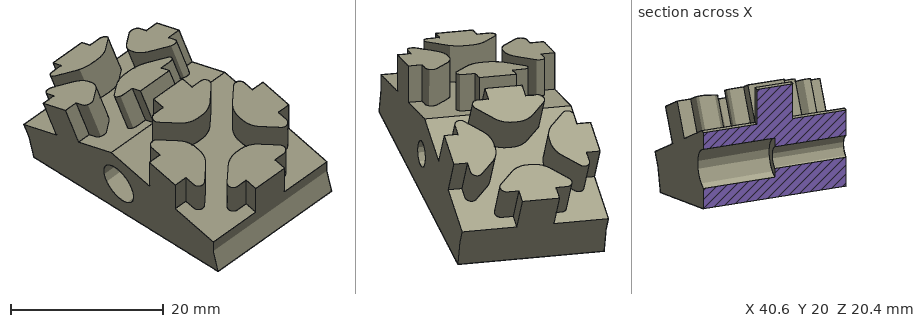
import cadquery as cq
import math

SEAT = 20.0
BEND = 31.0
BASE_LENGTH = 37.45
BASE_DEPTH = 10.75

KEY_HEIGHT = 5.0
KEY_LENGTH = 6.2
STEM_WIDTH = 5.08
STEM_LENGTH = 1.85
HEAD_WIDTH = 9.8
HEAD_RADIUS = 0.8
TIP_RADIUS = 3.3
KEYS_PER_SEAT = 4

HOLE_DROP = 5.45
HOLE_DIAMETER = 3.5
COUNTERBORE_DIAMETER = 5.8
COUNTERBORE_DEPTH = SEAT / 2

HALF_BEND = BEND / 2


def make_body():
    """Bent block, symmetric about a vertical bisector, with both seats sloping down from the ridge."""
    slope = math.radians(HALF_BEND)
    half_base = BASE_LENGTH / 2
    seat_end_x = SEAT * math.cos(slope)
    seat_end_z = -SEAT * math.sin(slope)
    wall_end_z = seat_end_z - (seat_end_x - half_base) / math.tan(slope)

    right_side = [(seat_end_x, seat_end_z), (half_base, wall_end_z), (half_base, -BASE_DEPTH)]
    left_side = [(-x, z) for x, z in reversed(right_side)]
    outline = [(0, 0)] + right_side + left_side
    return cq.Workplane("XZ").polyline(outline).close().extrude(SEAT / 2, both=True)


def make_key():
    """One upright key reaching inward from the +X edge of a seat centred on the origin."""
    edge = SEAT / 2
    shoulder = edge - STEM_LENGTH
    tip = edge - KEY_LENGTH
    half_stem = STEM_WIDTH / 2
    round_x = shoulder - HEAD_RADIUS
    round_y = HEAD_WIDTH / 2 - HEAD_RADIUS

    def on_head_round(angle):
        turn = math.radians(angle)
        return (round_x + HEAD_RADIUS * math.cos(turn), round_y + HEAD_RADIUS * math.sin(turn))

    flank_normal = 135
    round_start = on_head_round(0)
    flank_start = on_head_round(flank_normal)
    half_tip = flank_start[1] - (flank_start[0] - tip)

    key = (
        cq.Workplane("XY")
        .moveTo(edge, 0)
        .lineTo(edge, half_stem)
        .lineTo(shoulder, half_stem)
        .lineTo(*round_start)
        .threePointArc(on_head_round(flank_normal / 2), flank_start)
        .lineTo(tip, half_tip)
        .lineTo(tip, 0)
        .mirrorX()
        .extrude(KEY_HEIGHT)
    )
    return key.edges("|Z and <X").fillet(TIP_RADIUS)


def make_hole_cutter():
    """Through hole and counterbore as one solid along Y."""
    front = cq.Workplane("XZ", origin=(0, -SEAT / 2, -HOLE_DROP))
    hole = front.circle(HOLE_DIAMETER / 2).extrude(-SEAT)
    counterbore = front.circle(COUNTERBORE_DIAMETER / 2).extrude(-COUNTERBORE_DEPTH)
    return hole.union(counterbore)


def place_keys(body):
    """Join a ring of keys to each seat; the block is turned so the right seat lies flat."""
    key = make_key()
    origin = (0, 0, 0)
    along_ridge = (0, 1, 0)
    upward = (0, 0, 1)
    body = body.rotate(origin, along_ridge, -HALF_BEND)
    for side, tilt in ((1, 0), (-1, -BEND)):
        for index in range(KEYS_PER_SEAT):
            turned = key.rotate(origin, upward, index * 360 / KEYS_PER_SEAT)
            seated = turned.translate((side * SEAT / 2, 0, 0))
            body = body.union(seated.rotate(origin, along_ridge, tilt))
    return body


block = make_body().cut(make_hole_cutter())
result = place_keys(block)